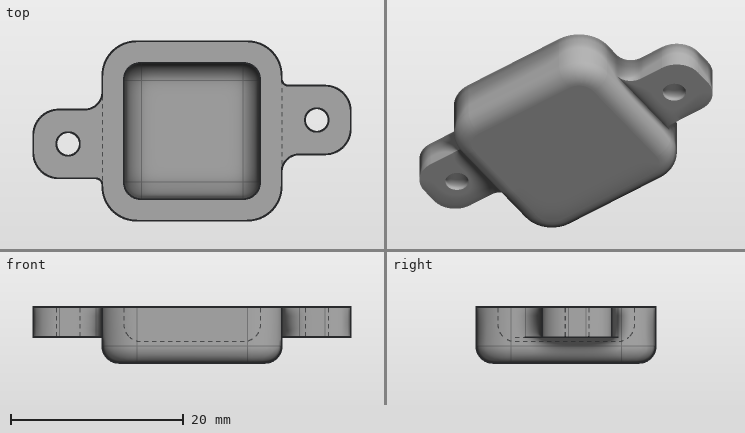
import cadquery as cq

body_side = 20.8
body_height = 6.5
body_corner_radius = 4.0
body_bottom_radius = 2.0

wall = 2.5
cavity_side = body_side - 2 * wall
cavity_depth = body_height - wall
cavity_radius = 2.0

overall_length = 36.8
ear_width = 8.0
ear_thickness = 3.5
left_ear_offset = 1.5
right_ear_offset = 1.27
ear_corner_radius = 3.0
ear_hole_diameter = 2.7
left_hole_from_tip = 4.05
right_hole_from_tip = 3.95
inner_blend_radius = 2.0
outer_blend_radius = 0.75

ear_tip_x = overall_length / 2
ear_bottom_z = body_height - ear_thickness


def make_body():
    blank = cq.Workplane("XY").rect(body_side, body_side).extrude(body_height)
    rounded = blank.edges("|Z").fillet(body_corner_radius)
    return rounded.faces("<Z").edges().fillet(body_bottom_radius)


def make_cavity():
    """Cutter for the cavity, with spherical corners at the floor."""
    blank = (
        cq.Workplane("XY")
        .workplane(offset=body_height - cavity_depth)
        .rect(cavity_side, cavity_side)
        .extrude(cavity_depth)
    )
    return blank.edges("|Z or <Z").fillet(cavity_radius)


def make_ear(offset, hole_from_tip):
    """Ear on the +X side, offset toward +Y, blended into the body wall by concave arcs."""
    root_x = body_side / 2 - wall / 2
    wall_x = body_side / 2
    top_y = offset + ear_width / 2
    bottom_y = offset - ear_width / 2
    top_blend_y = top_y + outer_blend_radius
    bottom_blend_y = bottom_y - inner_blend_radius
    tip_flat_x = ear_tip_x - ear_corner_radius

    ear = (
        cq.Workplane("XY")
        .workplane(offset=ear_bottom_z)
        .moveTo(root_x, bottom_blend_y)
        .lineTo(wall_x, bottom_blend_y)
        .radiusArc((wall_x + inner_blend_radius, bottom_y), inner_blend_radius)
        .lineTo(tip_flat_x, bottom_y)
        .radiusArc((ear_tip_x, bottom_y + ear_corner_radius), -ear_corner_radius)
        .lineTo(ear_tip_x, top_y - ear_corner_radius)
        .radiusArc((tip_flat_x, top_y), -ear_corner_radius)
        .lineTo(wall_x + outer_blend_radius, top_y)
        .radiusArc((wall_x, top_blend_y), outer_blend_radius)
        .lineTo(root_x, top_blend_y)
        .close()
        .extrude(ear_thickness)
    )
    hole = (
        cq.Workplane("XY")
        .workplane(offset=ear_bottom_z)
        .center(ear_tip_x - hole_from_tip, offset)
        .circle(ear_hole_diameter / 2)
        .extrude(ear_thickness)
    )
    return ear.cut(hole)


right_ear = make_ear(right_ear_offset, right_hole_from_tip)
left_ear = make_ear(left_ear_offset, left_hole_from_tip).rotate((0, 0, 0), (0, 0, 1), 180)

result = make_body().union(right_ear).union(left_ear).cut(make_cavity())